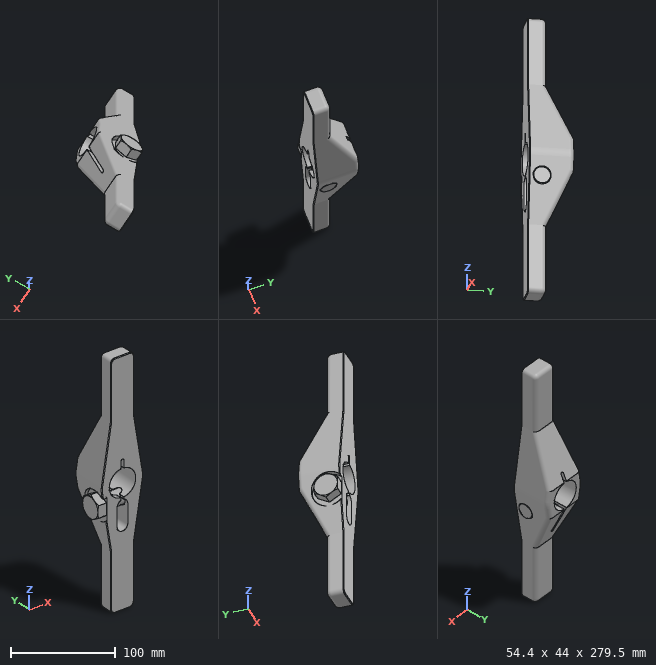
import cadquery as cq
import math


length = 279.5
arm_half_width = 14.0
arm_depth = 18.5
hub_half_width = 25.1
hub_depth = 44.0
hub_flat_half_height = 16.5
taper_end = 71.0
waist_radius = 25.0
edge_radius = 5.0
front_chamfer = 0.8
joint_clearance = 0.3

bore_radius = 16.0
slit_width = 3.4
slit_top = 26.0
pocket_width = 12.9
pocket_top = -18.5
pocket_bottom = -52.8
pocket_back_wall = 10.0

bolt_y = 12.5
bolt_z = -22.5
bolt_radius = 8.0
bolt_clearance_radius = 8.7
bolt_end = 22.0
seat_x = -19.0
seat_radius = 17.5
head_height = 10.3
head_across_flats = 24.0
head_chamfer_angle = 30.0

half_length = length / 2
head_face_radius = head_across_flats / 2
head_corner_radius = head_across_flats / math.sqrt(3)


def front_outline():
    """Body silhouette in XZ: straight arms joined by a hub that is widest at mid height."""
    slope = math.atan2(hub_half_width - arm_half_width, taper_end)
    apex = hub_half_width + waist_radius * (1 / math.cos(slope) - 1)
    points = [
        (arm_half_width, -half_length),
        (arm_half_width, -taper_end),
        (apex, 0),
        (arm_half_width, taper_end),
        (arm_half_width, half_length),
    ]
    mirrored = [(-x, z) for x, z in reversed(points)]
    return cq.Workplane("XZ").polyline(points + mirrored).close().extrude(-hub_depth)


def side_profile(wall=0.0):
    """Body profile in YZ with its back moved forward by the given wall, extruded over the full width."""
    points = [
        (0, -half_length),
        (arm_depth - wall, -half_length),
        (arm_depth - wall, -taper_end),
        (hub_depth - wall, -hub_flat_half_height),
        (hub_depth - wall, hub_flat_half_height),
        (arm_depth - wall, taper_end),
        (arm_depth - wall, half_length),
        (0, half_length),
    ]
    return cq.Workplane("YZ").polyline(points).close().extrude(2 * hub_half_width, both=True)


def round_slot(width, bottom, top):
    """Round-ended vertical slot that runs through the whole depth of the body."""
    return (
        cq.Workplane("XZ")
        .center(0, (bottom + top) / 2)
        .slot2D(top - bottom, width, 90)
        .extrude(-hub_depth)
    )


def bolt_cylinder(radius, x_start, x_end):
    """Cylinder on the bolt axis between two X positions."""
    return (
        cq.Workplane("YZ", origin=(x_start, bolt_y, bolt_z))
        .circle(radius)
        .extrude(x_end - x_start)
    )


def round_back_edges(body, bottom, top):
    """Round the rim of the back on the stretch between two heights.

    A stretch ends where the hub meets an arm. Edges centred right on that joint are left alone.
    """
    stretch = cq.selectors.BoxSelector(
        (-length, 0, bottom + joint_clearance),
        (length, length, top - joint_clearance),
    )
    rim = "not (|X or |Y or <Y)"
    return body.edges(rim).edges(stretch).fillet(edge_radius)


def make_body():
    body = front_outline().intersect(side_profile())
    waist = cq.selectors.BoxSelector((-length, -2.8, -2.8), (length, hub_depth + 2.8, 2.8))
    body = body.edges("|Y").edges(waist).fillet(waist_radius)
    body = body.edges("|Y and (>Z or <Z)").fillet(edge_radius)
    body = round_back_edges(body, -taper_end, taper_end)
    body = round_back_edges(body, taper_end, half_length)
    body = round_back_edges(body, -half_length, -taper_end)
    return body.faces("<Y").chamfer(front_chamfer)


def make_bolt():
    """Hexagon bolt with one flat toward the front face and a coned outer head face."""
    head_end = seat_x - head_height
    cone_length = (head_corner_radius - head_face_radius) * math.tan(math.radians(head_chamfer_angle))
    head = (
        cq.Workplane("YZ", origin=(head_end, bolt_y, bolt_z))
        .polygon(6, 2 * head_corner_radius)
        .extrude(head_height)
        .rotate((0, bolt_y, bolt_z), (1, bolt_y, bolt_z), 90)
    )
    envelope = (
        bolt_cylinder(head_corner_radius, head_end, seat_x)
        .faces("<X")
        .chamfer(cone_length, head_corner_radius - head_face_radius)
    )
    return head.intersect(envelope).union(bolt_cylinder(bolt_radius, seat_x, bolt_end))


bore = cq.Workplane("XZ").circle(bore_radius).extrude(-hub_depth)
slit = round_slot(slit_width, pocket_bottom, slit_top)
pocket = round_slot(pocket_width, pocket_bottom, pocket_top).intersect(side_profile(pocket_back_wall))
bolt_hole = bolt_cylinder(bolt_clearance_radius, seat_x, hub_half_width + 2.8)
bolt_seat = bolt_cylinder(seat_radius, -2 * hub_half_width, seat_x)

result = make_body()
for opening in (bore, slit, pocket, bolt_seat, bolt_hole):
    result = result.cut(opening)
result = result.union(make_bolt())